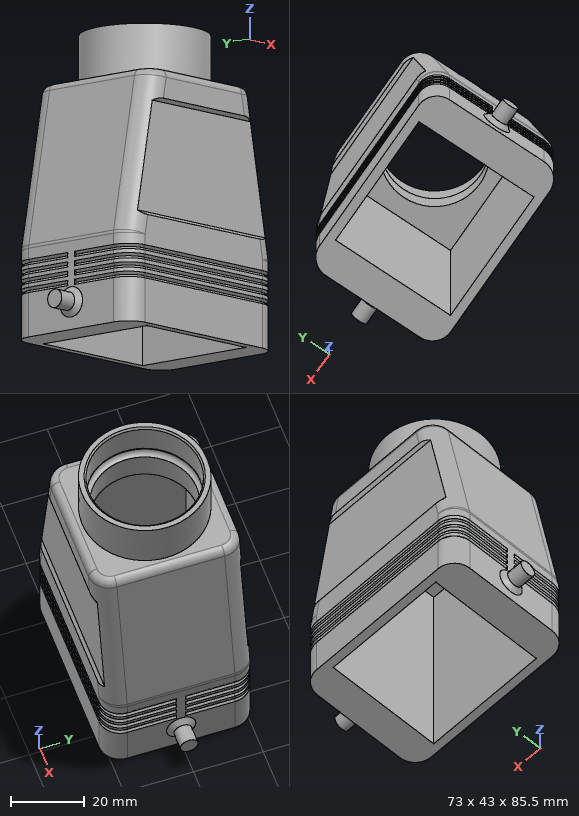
import cadquery as cq
import math

body_length = 59.8
body_width = 43.0
body_height = 71.4
corner_radius = 6.1
top_edge_radius = 2.5

knee_height = 25.0
knee_radius = 5.0
top_length = 42.0

recess_depth = 0.9
recess_bottom = 29.9
recess_top = 63.0

groove_count = 4
groove_pitch = 2.6
groove_depth = 0.73
groove_flank_angle = 45
lowest_groove = 13.0
groove_gap = 2.65

total_height = 85.5
neck_radius = 17.95
mouth_radius = 16.4
bore_radius = 15.9
inlet_radius = 14.9
undercut_depth = 9.4
seat_depth = 12.05

cavity_length = 40.2
cavity_width = 37.6
cavity_height = 65.4

peg_height = 7.6
peg_radius = 2.6
peg_span = 73.0
peg_foot_radius = 4.2
peg_foot_length = 1.4


def make_body():
    """Tapered block with rounded knees, corners and top edge."""
    half_base = body_length / 2
    half_top = top_length / 2
    outline = [
        (-half_base, 0),
        (half_base, 0),
        (half_base, knee_height),
        (half_top, body_height),
        (-half_top, body_height),
        (-half_base, knee_height),
    ]
    block = cq.Workplane("XZ").polyline(outline).close().extrude(body_width / 2, both=True)
    block = block.edges("|Y").edges("not(<Z or >Z)").fillet(knee_radius)
    end_edges = block.faces("<Y or >Y").edges("not(<Z or >Z)")
    block = end_edges.fillet(corner_radius)
    return block.faces(">Z").edges().fillet(top_edge_radius)


def make_recess(side):
    """Cutter for a panel recess with 45 degree ends; side is -1 or +1 along Y."""
    face = side * body_width / 2
    floor = side * (body_width / 2 - recess_depth)
    profile = [
        (face, recess_bottom),
        (floor, recess_bottom + recess_depth),
        (floor, recess_top - recess_depth),
        (face, recess_top),
    ]
    return cq.Workplane("YZ").polyline(profile).close().extrude(body_length / 2, both=True)


def base_sketch():
    """Rounded rectangle of the base."""
    return cq.Sketch().rect(body_length, body_width).vertices().fillet(corner_radius)


def make_groove(root_height):
    """Cutter for one V groove around the body, interrupted in the middle of both ends."""
    lower = cq.Workplane("XY").workplane(offset=root_height - groove_depth).placeSketch(base_sketch())
    upper = cq.Workplane("XY").workplane(offset=root_height + groove_depth).placeSketch(base_sketch())
    band = lower.extrude(2 * groove_depth)
    cone_below = lower.extrude(groove_depth, taper=groove_flank_angle)
    cone_above = upper.extrude(-groove_depth, taper=groove_flank_angle)
    strip = cq.Workplane("XY").box(
        body_length, groove_gap, body_height, centered=(True, True, False)
    )
    return band.cut(cone_below).cut(cone_above).cut(strip)


def make_neck_bore():
    """Revolved cutter: chamfered mouth, bore, flared undercut, rounded seat and inlet."""
    lead_in = mouth_radius - bore_radius
    seat_radius = mouth_radius - inlet_radius
    seat_z = total_height - seat_depth
    arc_step = seat_radius * math.cos(math.radians(45))
    arc_middle = (inlet_radius + arc_step, seat_z + seat_radius - arc_step)
    return (
        cq.Workplane("XZ")
        .moveTo(0, cavity_height)
        .lineTo(inlet_radius, cavity_height)
        .lineTo(inlet_radius, seat_z)
        .threePointArc(arc_middle, (mouth_radius, seat_z + seat_radius))
        .lineTo(bore_radius, total_height - undercut_depth)
        .lineTo(bore_radius, total_height - lead_in)
        .lineTo(mouth_radius, total_height)
        .lineTo(0, total_height)
        .close()
        .revolve(360, (0, 0), (0, 1))
    )


def make_peg(side):
    """Round peg with a conical foot; side is -1 or +1 along X."""
    wall = body_length / 2
    embed = 1.7
    profile = [
        (wall - embed, 0),
        (wall - embed, peg_foot_radius),
        (wall, peg_foot_radius),
        (wall + peg_foot_length, peg_radius),
        (peg_span / 2, peg_radius),
        (peg_span / 2, 0),
    ]
    points = [(side * x, r) for x, r in profile]
    peg = cq.Workplane("XY").polyline(points).close().revolve(360, (0, 0), (1, 0))
    return peg.translate((0, 0, peg_height))


def make_neck():
    """Solid neck, starting inside the roof of the body."""
    root = cq.Workplane("XY", origin=(0, 0, cavity_height))
    return root.circle(neck_radius).extrude(total_height - cavity_height)


def make_cavity():
    """Rectangular cavity with sharp corners, open at the bottom."""
    return cq.Workplane("XY").box(
        cavity_length, cavity_width, cavity_height, centered=(True, True, False)
    )


result = make_body()
for side in (-1, 1):
    result = result.cut(make_recess(side))
for index in range(groove_count):
    result = result.cut(make_groove(lowest_groove + index * groove_pitch))
result = result.union(make_neck()).cut(make_neck_bore()).cut(make_cavity())
for side in (-1, 1):
    result = result.union(make_peg(side))